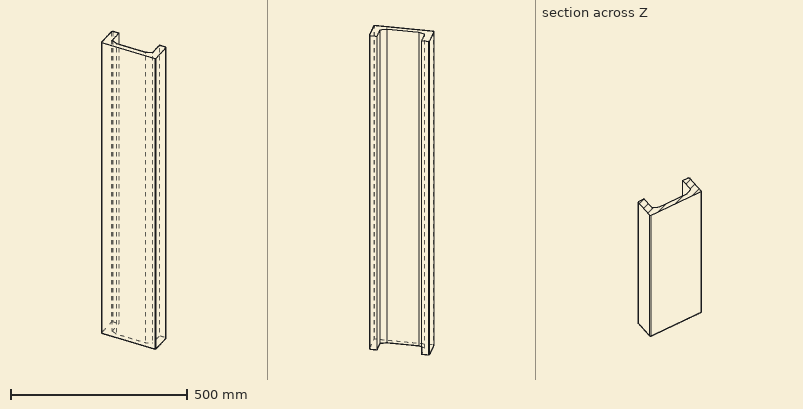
import cadquery as cq

width = 175.0
depth = 66.2
length = 1000.0

cavity_width = 130.0
cavity_depth = 50.0

haunch_width = 18.0
haunch_height = 8.5

back_chamfer_x = 2.0
back_chamfer_y = 3.0
tip_chamfer_x = 3.0
tip_chamfer_y = 4.0

outer_x = width / 2
inner_x = cavity_width / 2
floor_end_x = inner_x - haunch_width
back_y = -depth / 2
tip_y = depth / 2
floor_y = tip_y - cavity_depth


def make_half_section():
    """Outline of the +X half, from the middle of the back to the middle of the cavity floor."""
    return [
        (0, back_y),
        (outer_x - back_chamfer_x, back_y),
        (outer_x, back_y + back_chamfer_y),
        (outer_x, tip_y - tip_chamfer_y),
        (outer_x - tip_chamfer_x, tip_y),
        (inner_x, tip_y),
        (inner_x, floor_y + haunch_height),
        (floor_end_x, floor_y),
        (0, floor_y),
    ]


def make_channel():
    """Mirror the half section about the Y axis and extrude it along Z, open towards +Y."""
    half = cq.Workplane("XY").polyline(make_half_section())
    return half.mirrorY().extrude(length)


result = make_channel()